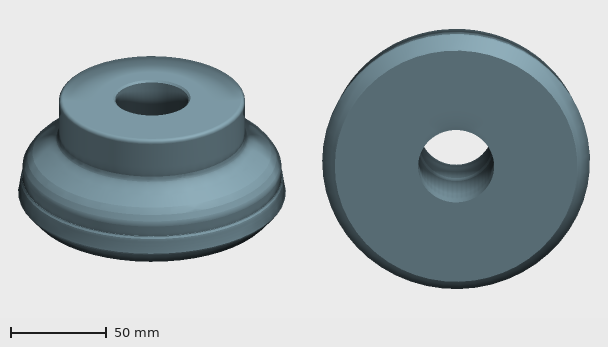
import cadquery as cq
import math

edge_tolerance = 0.01

total_height = 63.5
split_height = 17.3

bore_radius = 19.1
bore_chamfer = 1.0
counterbore_radius = 19.8
counterbore_top = 36.5
bore_taper_top = 39.5

neck_radius = 48.5
skirt_radius = 67.5
cone_start_height = 40.9
cone_tilt = math.radians(35)
shoulder_radius = 63.9
shoulder_tilt = math.radians(58)
shoulder_height = cone_start_height - (shoulder_radius - neck_radius) * math.tan(cone_tilt)
skirt_height = shoulder_height - (skirt_radius - shoulder_radius) * math.tan(shoulder_tilt)
neck_edge_fillet = 2.1
neck_root_fillet = 3.0
shoulder_fillet = 10.0
skirt_fillet = 5.0

rim_max_radius = 69.8
rim_widest_height = 8.1
rim_undercut_radius = 69.5
rim_undercut_height = 7.3
rim_foot_radius = 63.8
rim_foot_chamfer = 0.5
rim_top_chamfer_width = 0.7
rim_lip_height = 0.3
rim_bands = [(0.8, 12), (1.1, 10.5), (1.7, 9.5), (1.7, 8.5), (1.3, 7.5), (0.5, 8.5), (0.8, 12)]


def revolve_about_z(profile):
    """Turn an open (radius, height) outline into a closed solid of revolution."""
    return profile.close().revolve(360, (0, 0, 0), (0, 1, 0))


def round_ring_edge(body, radius, height, fillet):
    """Fillet the outermost circular edge at the given height, whose radius is given."""
    reach = radius + edge_tolerance
    slab = cq.selectors.BoxSelector(
        (-reach, -reach, height - edge_tolerance),
        (reach, reach, height + edge_tolerance),
        boundingbox=True,
    )
    outermost = cq.selectors.RadiusNthSelector(-1)
    return body.edges(slab).edges(outermost).fillet(fillet)


def make_hub():
    """Neck and flared skirt around the bore."""
    profile = (
        cq.Workplane("XZ")
        .moveTo(counterbore_radius, split_height)
        .lineTo(skirt_radius, split_height)
        .lineTo(skirt_radius, skirt_height)
        .lineTo(shoulder_radius, shoulder_height)
        .lineTo(neck_radius, cone_start_height)
        .lineTo(neck_radius, total_height)
        .lineTo(bore_radius + bore_chamfer, total_height)
        .lineTo(bore_radius, total_height - bore_chamfer)
        .lineTo(bore_radius, bore_taper_top)
        .lineTo(counterbore_radius, counterbore_top)
    )
    hub = revolve_about_z(profile)
    hub = round_ring_edge(hub, neck_radius, total_height, neck_edge_fillet)
    hub = round_ring_edge(hub, neck_radius, cone_start_height, neck_root_fillet)
    hub = round_ring_edge(hub, shoulder_radius, shoulder_height, shoulder_fillet)
    return round_ring_edge(hub, skirt_radius, skirt_height, skirt_fillet)


def make_rim():
    """Banded ring under the hub, widest near its lower edge."""
    profile = (
        cq.Workplane("XZ")
        .moveTo(counterbore_radius, 0)
        .lineTo(rim_foot_radius - rim_foot_chamfer, 0)
        .lineTo(rim_foot_radius, rim_foot_chamfer)
        .lineTo(rim_undercut_radius, rim_undercut_height)
        .lineTo(rim_max_radius, rim_widest_height)
    )
    radius = rim_max_radius
    height = rim_widest_height
    for band_height, taper in rim_bands:
        radius -= band_height * math.tan(math.radians(taper))
        height += band_height
        profile = profile.lineTo(radius, height)
    lip_radius = radius - rim_top_chamfer_width
    profile = (
        profile.lineTo(lip_radius, split_height - rim_lip_height)
        .lineTo(lip_radius, split_height)
        .lineTo(counterbore_radius, split_height)
    )
    return revolve_about_z(profile)


hub = make_hub()
rim = make_rim()

result = cq.Compound.makeCompound([hub.val(), rim.val()])